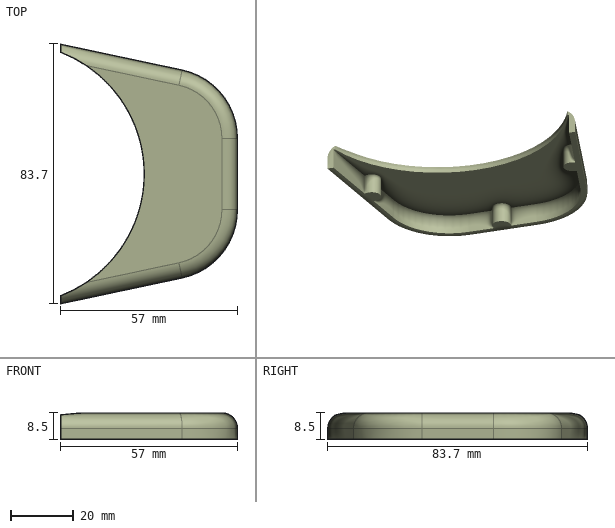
import cadquery as cq
import math

length = 57.0
width = 83.65
height = 8.5
wall = 2.0
roof = 2.0
edge_radius = 5.0

side_angle = math.radians(12)
corner_radius = 22.5

cutout_radius = 42.0
cutout_reach = 26.9

peg_radius = 3.0
peg_inset = 3.0
side_peg_x = 22.6

overrun = 12.55


def side_y(x, inset):
    """Half width of the inset outline along its tapered side."""
    return width / 2 - x * math.tan(side_angle) - inset / math.cos(side_angle)


def plan(inset, depth):
    """Solid of the outline moved inward by inset, standing on the XY plane."""
    radius = corner_radius - inset
    center_x = length - corner_radius
    center_y = side_y(center_x, corner_radius)
    tangent_angle = math.pi / 2 - side_angle

    def corner(angle, side):
        x = center_x + radius * math.cos(angle)
        y = center_y + radius * math.sin(angle)
        return x, side * y

    outline = cq.Workplane("XY").moveTo(-overrun, -side_y(-overrun, inset))
    outline = outline.lineTo(*corner(tangent_angle, -1))
    outline = outline.threePointArc(corner(tangent_angle / 2, -1), corner(0, -1))
    outline = outline.lineTo(*corner(0, 1))
    outline = outline.threePointArc(corner(tangent_angle / 2, 1), corner(tangent_angle, 1))
    outline = outline.lineTo(-overrun, side_y(-overrun, inset))
    return outline.close().extrude(depth)


envelope = plan(0, height).faces(">Z").edges("not <X").fillet(edge_radius)
cover = envelope.cut(plan(wall, height - roof))

trim = cq.Workplane("XY").box(overrun, 2 * width, height, centered=(False, True, False))
cover = cover.cut(trim.translate((-overrun, 0, 0)))
cutout = (
    cq.Workplane("XY", origin=(0, 0, height - roof))
    .center(cutout_reach - cutout_radius, 0)
    .circle(cutout_radius)
    .extrude(roof)
)
cover = cover.cut(cutout)


def peg(x, y, wall_direction):
    """Round peg with straight flanks running into the wall, toward wall_direction in degrees."""
    depth = height - roof
    bridge = peg_inset - wall / 2
    post = cq.Workplane("XY").circle(peg_radius).extrude(depth)
    flanks = cq.Workplane("XY").box(bridge, 2 * peg_radius, depth, centered=(False, True, False))
    return post.union(flanks).rotate((0, 0, 0), (0, 0, 1), wall_direction).translate((x, y, 0))


side_peg_y = side_y(side_peg_x, peg_inset)
side_direction = 90 - math.degrees(side_angle)
peg_places = [
    (length - peg_inset, 0, 0),
    (side_peg_x, side_peg_y, side_direction),
    (side_peg_x, -side_peg_y, -side_direction),
]
result = cover
for place in peg_places:
    result = result.union(peg(*place).intersect(envelope))